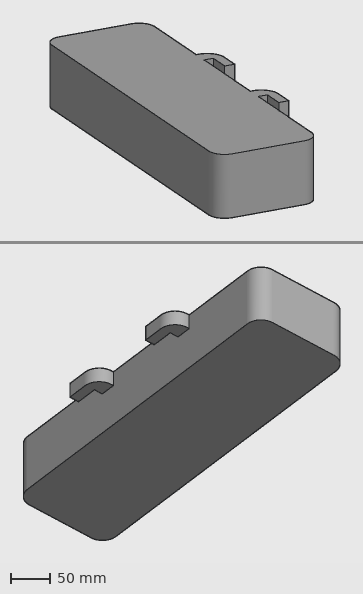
import cadquery as cq

block_length = 482.0
block_depth = 148.0
block_height = 87.3
corner_radius = 22.5

hook_reach = 27.5
hook_length = 54.0
hook_height = 22.5
stem_width = 22.0
finger_thickness = 14.5
bend_radius = 24.0
hook_pitch = 150.5
first_hook_x = -102.5
root_overlap = 5.0

back_y = block_depth


def make_block():
    return (
        cq.Workplane("XY")
        .rect(block_length, block_depth)
        .extrude(block_height)
        .translate((0, block_depth / 2, 0))
        .edges("|Z")
        .fillet(corner_radius)
    )


def make_hook(left_x):
    """L-shaped hook with a rounded outer bend and a finger pointing to +X."""
    root_y = back_y - root_overlap
    outer_y = back_y + hook_reach
    inner_y = outer_y - finger_thickness
    stem_right_x = left_x + stem_width
    tip_x = left_x + hook_length
    return (
        cq.Workplane("XY", origin=(0, 0, block_height - hook_height))
        .moveTo(left_x, root_y)
        .lineTo(left_x, outer_y - bend_radius)
        .radiusArc((left_x + bend_radius, outer_y), bend_radius)
        .lineTo(tip_x, outer_y)
        .lineTo(tip_x, inner_y)
        .lineTo(stem_right_x, inner_y)
        .lineTo(stem_right_x, root_y)
        .close()
        .extrude(hook_height)
    )


result = make_block()
for hook_index in range(2):
    result = result.union(make_hook(first_hook_x + hook_index * hook_pitch))